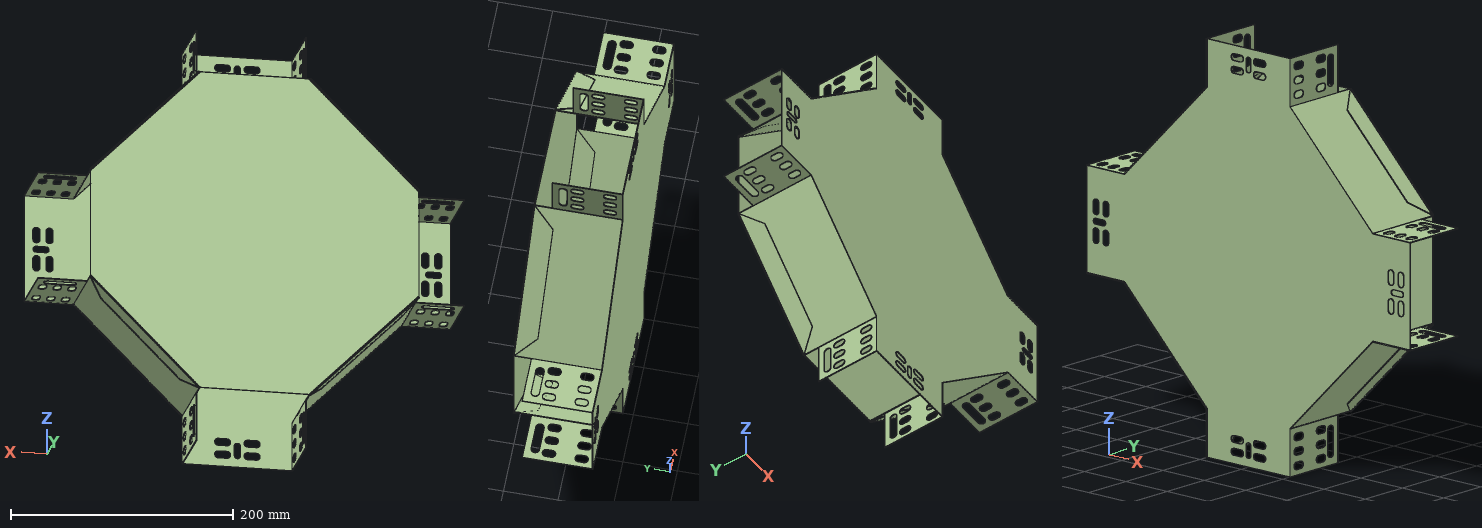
import cadquery as cq
import math

sheet = 0.8
overall_span = 391.34
total_depth = 81.6
arm_inside_width = 100.0
arm_length = 45.0
arm_wall_height = 65.0
cover_flange_depth = 20.0

long_slot = (30.0, 7.5)
small_slot = (12.0, 7.0)
long_slot_height = 55.0
small_slot_heights = (12.0, 42.0)
small_slot_pitch = 13.5
side_slots_from_end = 22.2

floor_slot_length = 14.5
floor_slot_width = 6.5
floor_slot_from_end = (11.2, 23.2)
floor_slot_offset = 13.5
floor_centre_slot_width = 5.5
floor_centre_slot_from_end = 15.5

half_span = overall_span / 2
arm_half_width = arm_inside_width / 2 + sheet
corner_reach = half_span - arm_length
corner_step = sheet * math.tan(math.pi / 8)
floor_outside = -total_depth / 2
cover_outside = total_depth / 2
cover_inside = cover_outside - sheet
arm_wall_top = floor_outside + arm_wall_height
diagonal_distance = (corner_reach + arm_half_width) / math.sqrt(2)
diagonal_length = (corner_reach - arm_half_width) * math.sqrt(2)
quarter_turns = (0, 90, 180, 270)
half_quarter_turn = 45
beyond_arm = arm_length


def turned(shape, angle):
    """Turn a shape about the Y axis through the part's centre."""
    return shape.rotate((0, 0, 0), (0, 1, 0), angle)


def extrude_outline(points, y_start, y_end):
    """Extrude a closed outline of (x, z) points between two Y levels."""
    plane = cq.Plane(origin=(0, y_start, 0), xDir=(1, 0, 0), normal=(0, -1, 0))
    return cq.Workplane(plane).polyline(points).close().extrude(y_start - y_end)


def cross_points(half_width, corner, end):
    """Outline of a cross with four arms joined by diagonal edges."""
    quarter = [(half_width, end), (half_width, corner), (corner, half_width), (end, half_width)]
    points = []
    for _ in quarter_turns:
        points += quarter
        quarter = [(z, -x) for x, z in quarter]
    return points


def octagon_points(half_width, reach):
    """Outline of an octagon with flats of twice the half width on the four axes."""
    return [
        (half_width, reach), (reach, half_width), (reach, -half_width), (half_width, -reach),
        (-half_width, -reach), (-reach, -half_width), (-reach, half_width), (-half_width, reach),
    ]


def floor_slots():
    """Slots through the floor of the +Z arm."""
    plane = cq.Workplane(cq.Plane(origin=(0, floor_outside, 0), xDir=(1, 0, 0), normal=(0, -1, 0)))
    places = [(side * floor_slot_offset, half_span - gap) for side in (-1, 1) for gap in floor_slot_from_end]
    slots = plane.pushPoints(places).slot2D(floor_slot_length, floor_slot_width).extrude(2 * sheet, both=True)
    centre = plane.center(0, half_span - floor_centre_slot_from_end)
    centre_slot = centre.slot2D(floor_slot_length, floor_centre_slot_width, 90)
    return slots.union(centre_slot.extrude(2 * sheet, both=True))


def side_wall_slots():
    """Slots through both side walls of the +Z arm."""
    column = half_span - side_slots_from_end
    plane = cq.Workplane(cq.Plane(origin=(0, floor_outside, column), xDir=(0, 1, 0), normal=(1, 0, 0)))
    places = [(height, step * small_slot_pitch) for height in small_slot_heights for step in (-1, 0, 1)]
    slots = plane.pushPoints(places).slot2D(*small_slot).extrude(2 * arm_half_width, both=True)
    long_cut = plane.center(long_slot_height, 0).slot2D(*long_slot, 90)
    return slots.union(long_cut.extrude(2 * arm_half_width, both=True))


def space_above_arm():
    """Block that lowers the side walls of the +Z arm below the diagonal walls."""
    block = cq.Workplane("XY", origin=(0, arm_wall_top, corner_reach))
    clear_height = cover_inside - arm_wall_top
    return block.box(2 * arm_half_width, clear_height, arm_length, centered=(True, False, False))


def build_tray():
    """Cross-shaped tray: a floor, arm side walls and taller diagonal corner walls."""
    outside = cross_points(arm_half_width, corner_reach, half_span)
    inside = cross_points(arm_half_width - sheet, corner_reach - corner_step, half_span + beyond_arm)
    tray = extrude_outline(outside, floor_outside, cover_inside)
    tray = tray.cut(extrude_outline(inside, floor_outside + sheet, cover_inside))
    for angle in quarter_turns:
        for cutter in (space_above_arm(), floor_slots(), side_wall_slots()):
            tray = tray.cut(turned(cutter, angle))
    return tray


def cover_flange():
    """Trapezoidal flange facing +Z, lying outside a diagonal wall before it is turned."""
    half_top = diagonal_length / 2
    drop = cover_flange_depth - sheet
    half_bottom = half_top - drop
    flange_edge = cover_inside - drop
    return (
        cq.Workplane("XY", origin=(0, 0, diagonal_distance))
        .polyline([
            (-half_top, cover_outside), (-half_top, cover_inside), (-half_bottom, flange_edge),
            (half_bottom, flange_edge), (half_top, cover_inside), (half_top, cover_outside),
        ])
        .close()
        .extrude(sheet)
    )


def build_cover():
    """Flat octagonal cover with a flange over each diagonal wall."""
    cover = extrude_outline(octagon_points(arm_half_width, corner_reach), cover_inside, cover_outside)
    for angle in quarter_turns:
        cover = cover.union(turned(cover_flange(), angle + half_quarter_turn))
    return cover


tray = build_tray()
cover = build_cover()
result = cq.Compound.makeCompound([tray.val(), cover.val()])